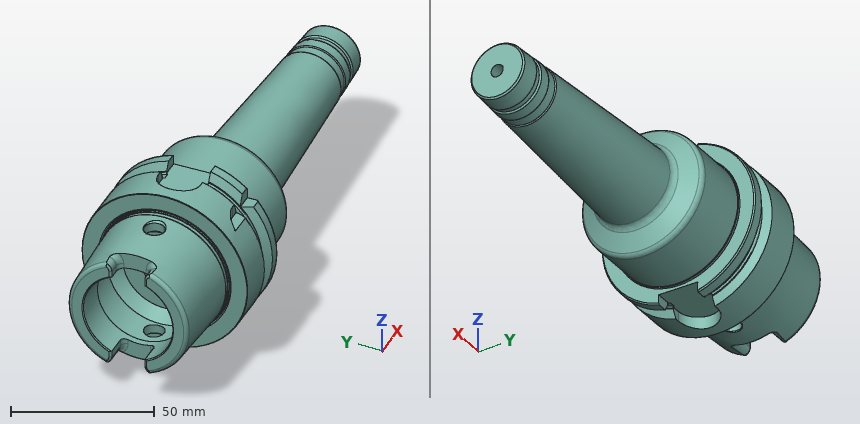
import cadquery as cq
import math


SHANK_LENGTH = 32.0
NOSE_LENGTH = 145.0
FLANGE_WIDTH = 26.0

TAPER_RADIUS = 48.04 / 2
TAPER_GAUGE_X = -6.3
TAPER_SLOPE = 0.05
SHANK_END_FILLET = 1.5
UNDERCUT_START_X = -2.1
UNDERCUT_BEVEL = 0.6
UNDERCUT_END_X = -0.8
UNDERCUT_RADIUS = 23.9
FACE_RELIEF_RADIUS = 25.3
FACE_RELIEF_DEPTH = 0.5

FLANGE_RADIUS = 63.0 / 2
GROOVE_CENTER_X = 18.13
GROOVE_RADIUS = 55.0 / 2
GROOVE_FLOOR_WIDTH = 3.5
GROOVE_MOUTH_WIDTH = 7.0
GROOVE_FLOOR_FILLET = 0.6
GROOVE_HALF_ANGLE = math.radians(30)
FLANGE_REAR_CHAMFER = 0.5
CONTACT_EDGE_CHAMFER = 0.2

COLLAR_RADIUS = 25.4
COLLAR_WIDTH = 0.9
BODY_RADIUS = 50.0 / 2
SHOULDER_START_X = 49.6
SHOULDER_END_X = 54.9
SHOULDER_TOP_FILLET = 2.5
SHOULDER_ROOT_FILLET = 3.4

NOSE_ROOT_RADIUS = 15.9
NOSE_TIP_RADIUS = 11.0
RING_START_X = 125.3
RING_END_X = 129.9
RING_DEPTH = 0.4
BAND_START_X = 134.2
BAND_END_X = 137.2
BAND_DEPTH = 0.6
TIP_CHAMFER = 0.6

BORE_RADIUS = 34.0 / 2
BORE_CHAMFER = 0.4
BORE_DEPTH = 12.5
RECESS_RADIUS = 40.0 / 2
RECESS_HALF_ANGLE = math.radians(60)
RECESS_END_X = -4.0
CAVITY_FLOOR_RADIUS = 15.9
CAVITY_FLOOR_X = 0.0
TUBE_BORE_RADIUS = 16.92 / 2
TUBE_BORE_DEPTH = 12.0
COOLANT_RADIUS = 4.92 / 2
COOLANT_SINK_RADIUS = 8.0 / 2

CROSS_HOLE_X = -8.9
CROSS_HOLE_DIAMETER = 7.5
CROSS_HOLE_MOUTH = 8.6

SLOT_HALF_WIDTH = 12.54 / 2
SLOT_TOP_ROUND = 3.0
SLOT_SHELF_Z = 21.2
SLOT_CORNER_FILLET = 2.0
SLOT_MOUTH_CHAMFER = (0.5, 0.9)
TOP_SLOT_DEPTH = 6.3
BOTTOM_SLOT_DEPTH = 10.0

KEYWAY_WIDTH = 16.0
KEYWAY_CENTER_X = 13.0
KEYWAY_FLOOR_Z = 26.5
NOTCH_INSET = 20.0

SELECT_SLACK = 0.1
MARGIN = 5.0


def taper_radius(x):
    return TAPER_RADIUS + TAPER_SLOPE * (x - TAPER_GAUGE_X)


def revolve_about_x(profile):
    return profile.close().revolve(360, (0, 0, 0), (1, 0, 0))


def edges_at(x, radius):
    """Select the edges at x that lie no further than radius from the axis."""
    reach = radius + SELECT_SLACK
    return cq.selectors.BoxSelector(
        (x - SELECT_SLACK, -reach, -reach),
        (x + SELECT_SLACK, reach, reach),
        boundingbox=True,
    )


def nose_radius(x):
    run = (x - SHOULDER_END_X) / (NOSE_LENGTH - SHOULDER_END_X)
    return NOSE_ROOT_RADIUS + run * (NOSE_TIP_RADIUS - NOSE_ROOT_RADIUS)


def shank():
    end_x = -SHANK_LENGTH
    profile = (
        cq.Workplane("XY")
        .moveTo(end_x, 0)
        .lineTo(end_x, taper_radius(end_x))
        .lineTo(UNDERCUT_START_X, taper_radius(UNDERCUT_START_X))
        .lineTo(UNDERCUT_START_X + UNDERCUT_BEVEL, UNDERCUT_RADIUS)
        .lineTo(FACE_RELIEF_DEPTH, UNDERCUT_RADIUS)
        .lineTo(FACE_RELIEF_DEPTH, 0)
    )
    return revolve_about_x(profile).faces("<X").edges().fillet(SHANK_END_FILLET)


def face_relief():
    """Shallow ring recess where the shank meets the flange contact face."""
    profile = (
        cq.Workplane("XY")
        .moveTo(UNDERCUT_END_X, UNDERCUT_RADIUS)
        .lineTo(FACE_RELIEF_DEPTH, UNDERCUT_RADIUS + FACE_RELIEF_DEPTH)
        .lineTo(FACE_RELIEF_DEPTH, FACE_RELIEF_RADIUS - FACE_RELIEF_DEPTH)
        .lineTo(0, FACE_RELIEF_RADIUS)
        .lineTo(UNDERCUT_END_X, FACE_RELIEF_RADIUS)
    )
    return revolve_about_x(profile)


def flange():
    floor_half = GROOVE_FLOOR_WIDTH / 2
    mouth_half = GROOVE_MOUTH_WIDTH / 2
    wall_top_radius = FLANGE_RADIUS - (mouth_half - floor_half) / math.tan(GROOVE_HALF_ANGLE)
    profile = (
        cq.Workplane("XY")
        .moveTo(0, 0)
        .lineTo(0, FLANGE_RADIUS - CONTACT_EDGE_CHAMFER)
        .lineTo(CONTACT_EDGE_CHAMFER, FLANGE_RADIUS)
        .lineTo(GROOVE_CENTER_X - mouth_half, FLANGE_RADIUS)
        .lineTo(GROOVE_CENTER_X - floor_half, wall_top_radius)
        .lineTo(GROOVE_CENTER_X - floor_half, GROOVE_RADIUS)
        .lineTo(GROOVE_CENTER_X + floor_half, GROOVE_RADIUS)
        .lineTo(GROOVE_CENTER_X + floor_half, wall_top_radius)
        .lineTo(GROOVE_CENTER_X + mouth_half, FLANGE_RADIUS)
        .lineTo(FLANGE_WIDTH - FLANGE_REAR_CHAMFER, FLANGE_RADIUS)
        .lineTo(FLANGE_WIDTH, FLANGE_RADIUS - FLANGE_REAR_CHAMFER)
        .lineTo(FLANGE_WIDTH, 0)
    )
    left_corner = edges_at(GROOVE_CENTER_X - floor_half, GROOVE_RADIUS)
    right_corner = edges_at(GROOVE_CENTER_X + floor_half, GROOVE_RADIUS)
    solid = revolve_about_x(profile)
    return solid.edges(left_corner + right_corner).fillet(GROOVE_FLOOR_FILLET)


def body_and_nose():
    collar_end = FLANGE_WIDTH + COLLAR_WIDTH
    profile = (
        cq.Workplane("XY")
        .moveTo(FLANGE_WIDTH, 0)
        .lineTo(FLANGE_WIDTH, COLLAR_RADIUS)
        .lineTo(collar_end, COLLAR_RADIUS)
        .lineTo(collar_end, BODY_RADIUS)
        .lineTo(SHOULDER_START_X, BODY_RADIUS)
        .lineTo(SHOULDER_END_X, NOSE_ROOT_RADIUS)
        .lineTo(NOSE_LENGTH - TIP_CHAMFER, nose_radius(NOSE_LENGTH - TIP_CHAMFER))
        .lineTo(NOSE_LENGTH, NOSE_TIP_RADIUS - TIP_CHAMFER)
        .lineTo(NOSE_LENGTH, 0)
    )
    solid = revolve_about_x(profile)
    solid = solid.edges(edges_at(SHOULDER_START_X, BODY_RADIUS)).fillet(SHOULDER_TOP_FILLET)
    return solid.edges(edges_at(SHOULDER_END_X, NOSE_ROOT_RADIUS)).fillet(SHOULDER_ROOT_FILLET)


def nose_groove(start_x, end_x, depth):
    """Ring groove with 45 degree flanks."""
    floor_start = start_x + depth
    floor_end = end_x - depth
    profile = (
        cq.Workplane("XY")
        .moveTo(start_x, nose_radius(start_x))
        .lineTo(floor_start, nose_radius(floor_start) - depth)
        .lineTo(floor_end, nose_radius(floor_end) - depth)
        .lineTo(end_x, nose_radius(end_x))
        .lineTo(end_x, nose_radius(end_x) + MARGIN)
        .lineTo(start_x, nose_radius(start_x) + MARGIN)
    )
    return revolve_about_x(profile)


def cavity():
    mouth_x = -SHANK_LENGTH
    lip_x = mouth_x + BORE_DEPTH
    recess_x = lip_x + (RECESS_RADIUS - BORE_RADIUS) / math.tan(RECESS_HALF_ANGLE)
    tube_end = CAVITY_FLOOR_X + TUBE_BORE_DEPTH
    sink_end = tube_end + COOLANT_SINK_RADIUS - COOLANT_RADIUS
    profile = (
        cq.Workplane("XY")
        .moveTo(mouth_x, 0)
        .lineTo(mouth_x, BORE_RADIUS + BORE_CHAMFER)
        .lineTo(mouth_x + BORE_CHAMFER, BORE_RADIUS)
        .lineTo(lip_x, BORE_RADIUS)
        .lineTo(recess_x, RECESS_RADIUS)
        .lineTo(RECESS_END_X, RECESS_RADIUS)
        .lineTo(CAVITY_FLOOR_X, CAVITY_FLOOR_RADIUS)
        .lineTo(CAVITY_FLOOR_X, TUBE_BORE_RADIUS)
        .lineTo(tube_end, TUBE_BORE_RADIUS)
        .lineTo(tube_end, COOLANT_SINK_RADIUS)
        .lineTo(sink_end, COOLANT_RADIUS)
        .lineTo(NOSE_LENGTH, COOLANT_RADIUS)
        .lineTo(NOSE_LENGTH, 0)
    )
    return revolve_about_x(profile)


def cross_holes():
    reach = taper_radius(CROSS_HOLE_X)
    sink = (CROSS_HOLE_MOUTH - CROSS_HOLE_DIAMETER) / 2
    hole = cq.Workplane("XY").center(CROSS_HOLE_X, 0).circle(CROSS_HOLE_DIAMETER / 2)
    hole = hole.extrude(reach + MARGIN, both=True)
    cone = cq.Solid.makeCone(
        CROSS_HOLE_DIAMETER / 2, CROSS_HOLE_MOUTH / 2 + sink, 2 * sink,
        cq.Vector(CROSS_HOLE_X, 0, reach - sink), cq.Vector(0, 0, 1),
    )
    return hole.union(cq.Workplane(cone)).union(cq.Workplane(cone).mirror("XY"))


def slot_outline(x):
    """Slot cross-section across the axis: straight walls, rounded over onto a wide shelf."""
    shelf_half = SLOT_HALF_WIDTH + SLOT_TOP_ROUND
    round_z = SLOT_SHELF_Z - SLOT_TOP_ROUND
    arc_offset = SLOT_TOP_ROUND * (1 - math.cos(math.radians(45)))
    arc_y = SLOT_HALF_WIDTH + arc_offset
    arc_z = SLOT_SHELF_Z - arc_offset
    inner_z = CAVITY_FLOOR_RADIUS - MARGIN
    outer_z = TAPER_RADIUS + MARGIN
    far_half = shelf_half + MARGIN
    return (
        cq.Workplane("YZ", origin=(x, 0, 0))
        .moveTo(-SLOT_HALF_WIDTH, inner_z)
        .lineTo(SLOT_HALF_WIDTH, inner_z)
        .lineTo(SLOT_HALF_WIDTH, round_z)
        .threePointArc((arc_y, arc_z), (shelf_half, SLOT_SHELF_Z))
        .lineTo(far_half, SLOT_SHELF_Z)
        .lineTo(far_half, outer_z)
        .lineTo(-far_half, outer_z)
        .lineTo(-far_half, SLOT_SHELF_Z)
        .lineTo(-shelf_half, SLOT_SHELF_Z)
        .threePointArc((-arc_y, arc_z), (-SLOT_HALF_WIDTH, round_z))
        .close()
    )


def drive_slot(depth):
    chamfer_depth, chamfer_width = SLOT_MOUTH_CHAMFER
    mouth_x = -SHANK_LENGTH
    slot = slot_outline(mouth_x).extrude(depth).faces(">X").edges().fillet(SLOT_CORNER_FILLET)
    flare = math.degrees(math.atan2(chamfer_width, chamfer_depth))
    mouth = slot_outline(mouth_x + chamfer_depth).extrude(-chamfer_depth, taper=-flare)
    return slot.union(mouth)


def round_ended_cutter(center_y, floor_z):
    """Round-ended slot open toward +X and upward from floor_z."""
    length = FLANGE_WIDTH - KEYWAY_CENTER_X
    cutter = (
        cq.Workplane("XY", origin=(KEYWAY_CENTER_X, center_y, floor_z))
        .moveTo(0, -KEYWAY_WIDTH / 2)
        .lineTo(length, -KEYWAY_WIDTH / 2)
        .lineTo(length, KEYWAY_WIDTH / 2)
        .lineTo(0, KEYWAY_WIDTH / 2)
        .threePointArc((-KEYWAY_WIDTH / 2, 0), (0, -KEYWAY_WIDTH / 2))
        .close()
    )
    return cutter.extrude(FLANGE_RADIUS + MARGIN - floor_z)


solid = shank().union(flange()).union(body_and_nose())
solid = solid.cut(face_relief())
solid = solid.cut(nose_groove(RING_START_X, RING_END_X, RING_DEPTH))
solid = solid.cut(nose_groove(BAND_START_X, BAND_END_X, BAND_DEPTH))
solid = solid.cut(cavity()).cut(cross_holes())

solid = solid.cut(drive_slot(TOP_SLOT_DEPTH))
solid = solid.cut(drive_slot(BOTTOM_SLOT_DEPTH).mirror("XY"))

keyway = round_ended_cutter(0, KEYWAY_FLOOR_Z)
index_notch = round_ended_cutter(-NOTCH_INSET - KEYWAY_WIDTH / 2, NOTCH_INSET)
result = solid.cut(keyway).cut(keyway.mirror("XY")).cut(index_notch)